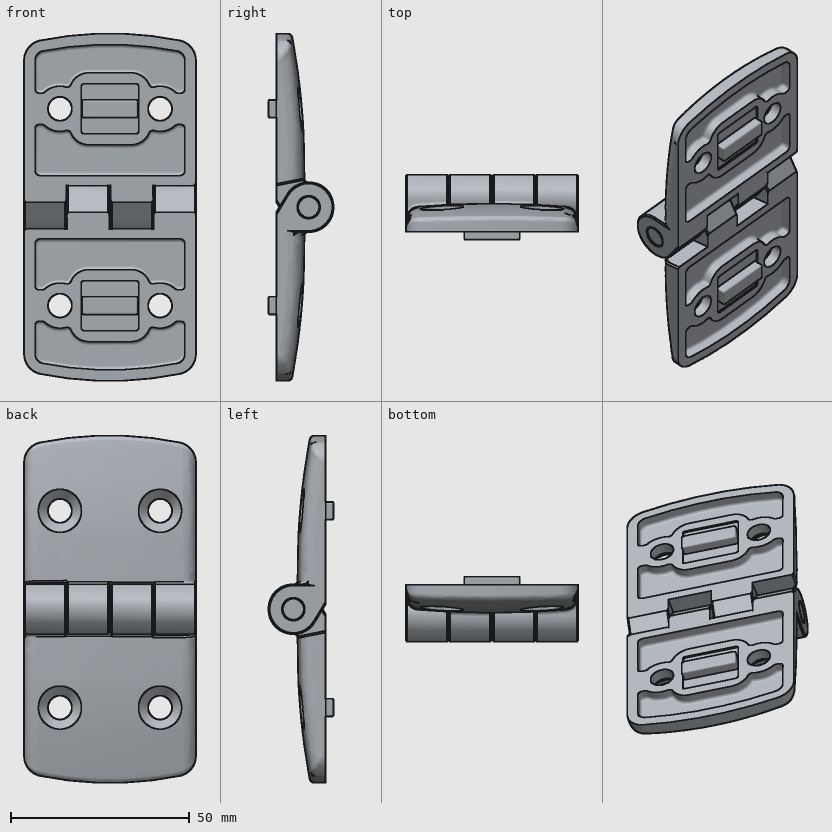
import cadquery as cq
import math

WIDTH = 48.0
LENGTH = 97.0
HALF_WIDTH = WIDTH / 2
LEAF_END = LENGTH / 2

AXIS_Y = 9.0
KNUCKLE_RADIUS = 7.0
KNUCKLE_LENGTH = 11.8
KNUCKLE_CHAMFER = 0.4
KNUCKLE_FOOT_Z = 1.4
CENTRE_GAP = 0.4
PIN_RADIUS = 2.9
PIN_HOLE_CHAMFER = 0.3

NOTCH_Z = 6.0
NOTCH_SLOPE = 0.2
NOTCH_CHAMFER = 0.5

ROOT_THICKNESS = 7.9
MIDDLE_THICKNESS = 7.2
END_THICKNESS = 4.3
CROWN_RADIUS = 261.9
END_ARC_RISE = 3.0
CORNER_RADIUS = 5.8
SIDE_FILLET = 3.9
END_FILLET = 1.5
ROOT_FILLET = 1.0
ROOT_OVERLAP = 0.3

KEY_Z = 27.45
SCREW_X = 14.0
SCREW_HOLE_DIAMETER = 6.6
SCREW_HEAD_DIAMETER = 12.0
SCREW_RIM_Y = 6.0
SCREW_POINTS = [(-SCREW_X, KEY_Z), (SCREW_X, KEY_Z)]

RIM = 3.1
POCKET_BOTTOM_Z = 8.8
POCKET_DEPTH = 3.0
POCKET_CORNER = 1.5
LAND_FILLET = 1.2
POCKET_FLOOR_FILLET = 1.0
ISLAND_WIDTH = 22.6
ISLAND_HEIGHT = 20.1
ISLAND_CORNER = 5.3
BOSS_RADIUS = 6.3
BAND_HEIGHT = 8.7

RECESS_WIDTH = 16.0
RECESS_HEIGHT = 14.0
RECESS_CORNER = 0.8
PLATE_SINK = 0.5
RIDGE_WIDTH = 15.6
RIDGE_HEIGHT = 5.0
RIDGE_STANDOUT = 2.2
RIDGE_FILLET = 0.6

OVERSIZE = 4.85
EDGE_MARGIN = 0.5


def xz_plane(y):
    """Workplane at height y whose extrusions grow toward +Y; its local x is -X."""
    return cq.Workplane(cq.Plane(origin=(0, y, 0), xDir=(-1, 0, 0), normal=(0, 1, 0)))


def leaf_outline(inset, bottom, depth):
    """Slab with the leaf outline, drawn in by `inset` at the sides and the end."""
    half = HALF_WIDTH - inset
    end = LEAF_END - inset
    shoulder = end - END_ARC_RISE * (half / HALF_WIDTH) ** 2
    slab = (
        xz_plane(0)
        .moveTo(-half, bottom)
        .lineTo(half, bottom)
        .lineTo(half, shoulder)
        .threePointArc((0, end), (-half, shoulder))
        .close()
        .extrude(depth)
    )
    return slab.edges("|Y").edges(">Z").fillet(CORNER_RADIUS - inset)


def domed_plate():
    """Solid leaf plate with its domed back, rounded sides and rounded end."""
    crown_axis_y = ROOT_THICKNESS - CROWN_RADIUS
    crown_angle = 2 * math.degrees(math.asin((HALF_WIDTH + OVERSIZE) / CROWN_RADIUS))
    dome = (
        cq.Workplane("YZ")
        .moveTo(-2 * OVERSIZE, NOTCH_Z)
        .lineTo(ROOT_THICKNESS, NOTCH_Z)
        .threePointArc((MIDDLE_THICKNESS, KEY_Z), (END_THICKNESS, LEAF_END))
        .lineTo(-2 * OVERSIZE, LEAF_END)
        .close()
        .revolve(crown_angle, (crown_axis_y, 0), (crown_axis_y, 1))
        .rotate((0, crown_axis_y, 0), (0, crown_axis_y, 1), -crown_angle / 2)
    )
    block = cq.Workplane().box(WIDTH, LENGTH, 2 * LENGTH)
    plate = dome.intersect(block)
    plate = plate.faces("<X or >X").edges(">Y").fillet(SIDE_FILLET)
    plate = plate.intersect(leaf_outline(0, NOTCH_Z, AXIS_Y))
    corner_start_z = LEAF_END - END_ARC_RISE - CORNER_RADIUS
    above_foot = cq.selectors.BoxSelector(
        (-WIDTH, EDGE_MARGIN, corner_start_z + EDGE_MARGIN), (WIDTH, AXIS_Y, LENGTH)
    )
    return plate.edges("not |Y").edges(above_foot).fillet(END_FILLET)


def knuckle(start_x):
    """One knuckle, from start_x toward +X, with a flat foot on the mounting face."""
    foot_distance = math.hypot(AXIS_Y, KNUCKLE_FOOT_Z)
    foot_direction = math.atan2(KNUCKLE_FOOT_Z, -AXIS_Y)
    tangent_angle = foot_direction + math.acos(KNUCKLE_RADIUS / foot_distance)
    tangent_y = AXIS_Y + KNUCKLE_RADIUS * math.cos(tangent_angle)
    tangent_z = KNUCKLE_RADIUS * math.sin(tangent_angle)
    body = (
        cq.Workplane("YZ", origin=(start_x, 0, 0))
        .moveTo(0, KNUCKLE_FOOT_Z)
        .lineTo(tangent_y, tangent_z)
        .threePointArc((AXIS_Y + KNUCKLE_RADIUS, 0), (AXIS_Y, KNUCKLE_RADIUS))
        .lineTo(0, KNUCKLE_RADIUS)
        .close()
        .extrude(KNUCKLE_LENGTH)
    )
    above_foot = cq.selectors.BoxSelector((-WIDTH, EDGE_MARGIN, -LENGTH), (WIDTH, LENGTH, LENGTH))
    return body.faces("<X or >X").edges(above_foot).chamfer(KNUCKLE_CHAMFER)


def root_fillet(start_x):
    """Concave fillet between the top of one knuckle and the rounded back of the leaf."""
    corner_x = HALF_WIDTH - SIDE_FILLET
    crown_y = ROOT_THICKNESS - CROWN_RADIUS
    corner_y = crown_y + math.sqrt((CROWN_RADIUS - SIDE_FILLET) ** 2 - corner_x**2)
    crown_end_angle = math.asin(corner_x / (CROWN_RADIUS - SIDE_FILLET))
    crown_end_x = CROWN_RADIUS * math.sin(crown_end_angle)
    crown_end_y = crown_y + CROWN_RADIUS * math.cos(crown_end_angle)
    corner_middle_angle = (crown_end_angle + math.pi / 2) / 2
    corner_middle_x = corner_x + SIDE_FILLET * math.sin(corner_middle_angle)
    corner_middle_y = corner_y + SIDE_FILLET * math.cos(corner_middle_angle)
    back_outline = (
        cq.Workplane("XY", origin=(0, 0, KNUCKLE_RADIUS))
        .moveTo(-HALF_WIDTH, corner_y)
        .threePointArc((-corner_middle_x, corner_middle_y), (-crown_end_x, crown_end_y))
        .threePointArc((0, ROOT_THICKNESS), (crown_end_x, crown_end_y))
        .threePointArc((corner_middle_x, corner_middle_y), (HALF_WIDTH, corner_y))
    )
    middle_of_arc = ROOT_FILLET * (1 - math.sqrt(0.5))
    strip = (
        cq.Workplane("XZ", origin=(-HALF_WIDTH, corner_y, KNUCKLE_RADIUS))
        .moveTo(ROOT_OVERLAP, -ROOT_OVERLAP)
        .lineTo(-ROOT_FILLET, -ROOT_OVERLAP)
        .lineTo(-ROOT_FILLET, 0)
        .threePointArc((-middle_of_arc, middle_of_arc), (0, ROOT_FILLET))
        .lineTo(ROOT_OVERLAP, ROOT_FILLET)
        .close()
        .sweep(back_outline, transition="round")
    )
    flat_length = KNUCKLE_LENGTH - 2 * KNUCKLE_CHAMFER
    column = cq.Workplane().box(flat_length, LENGTH, LENGTH).translate((start_x + KNUCKLE_LENGTH / 2, 0, 0))
    return strip.intersect(column)


def notch(start_x, end_x):
    """Cutting body that clears one knuckle of the other leaf."""
    return (
        cq.Workplane("YZ", origin=(start_x, 0, 0))
        .moveTo(-OVERSIZE, NOTCH_Z - NOTCH_SLOPE * OVERSIZE)
        .lineTo(AXIS_Y, NOTCH_Z + NOTCH_SLOPE * AXIS_Y)
        .lineTo(AXIS_Y, 0)
        .lineTo(-OVERSIZE, 0)
        .close()
        .extrude(end_x - start_x)
    )


def pockets():
    """The two hollows above and below the land that carries the screws and the key."""
    hollow = leaf_outline(RIM, POCKET_BOTTOM_Z, POCKET_DEPTH).edges("|Y").edges("<Z").fillet(POCKET_CORNER)
    island = (
        xz_plane(0)
        .center(0, KEY_Z)
        .rect(ISLAND_WIDTH, ISLAND_HEIGHT)
        .extrude(POCKET_DEPTH)
        .edges("|Y")
        .fillet(ISLAND_CORNER)
    )
    bosses = xz_plane(0).pushPoints(SCREW_POINTS).circle(BOSS_RADIUS).extrude(POCKET_DEPTH)
    band = xz_plane(0).center(0, KEY_Z).rect(WIDTH, BAND_HEIGHT).extrude(POCKET_DEPTH)
    hollow = hollow.cut(island).cut(bosses).cut(band)
    near_land = cq.selectors.BoxSelector(
        (-HALF_WIDTH, 0, KEY_Z - BOSS_RADIUS), (HALF_WIDTH, POCKET_DEPTH, KEY_Z + BOSS_RADIUS)
    )
    hollow = hollow.edges("|Y").edges(near_land).fillet(LAND_FILLET)
    return hollow.faces(">Y").edges().fillet(POCKET_FLOOR_FILLET)


def recess_block(bottom_y, top_y):
    """Block that fills the key recess between two heights."""
    return (
        xz_plane(bottom_y)
        .center(0, KEY_Z)
        .rect(RECESS_WIDTH, RECESS_HEIGHT)
        .extrude(top_y - bottom_y)
        .edges("|Y")
        .fillet(RECESS_CORNER)
    )


def screw_holes():
    """Through holes with a 90 degree countersink that ends in a short straight bore in the back."""
    cone_depth = (SCREW_HEAD_DIAMETER - SCREW_HOLE_DIAMETER) / 2
    profile = (
        cq.Workplane("XY")
        .moveTo(0, -OVERSIZE)
        .lineTo(SCREW_HOLE_DIAMETER / 2, -OVERSIZE)
        .lineTo(SCREW_HOLE_DIAMETER / 2, SCREW_RIM_Y - cone_depth)
        .lineTo(SCREW_HEAD_DIAMETER / 2, SCREW_RIM_Y)
        .lineTo(SCREW_HEAD_DIAMETER / 2, AXIS_Y)
        .lineTo(0, AXIS_Y)
        .close()
        .revolve(360, (0, 0), (0, 1))
    )
    holes = cq.Workplane("XY")
    for x, z in SCREW_POINTS:
        holes = holes.add(profile.val().translate(cq.Vector(x, 0, z)))
    return holes.combine()


def pin_hole():
    """Bore along the hinge axis, chamfered where it leaves the hinge."""
    bore = cq.Workplane("YZ", origin=(-HALF_WIDTH, AXIS_Y, 0)).circle(PIN_RADIUS).extrude(WIDTH)
    mouth = cq.Solid.makeCone(
        PIN_RADIUS + PIN_HOLE_CHAMFER, PIN_RADIUS, PIN_HOLE_CHAMFER,
        pnt=cq.Vector(-HALF_WIDTH, AXIS_Y, 0), dir=cq.Vector(1, 0, 0),
    )
    return bore.union(cq.Workplane(mouth))


def make_leaf():
    """The upper leaf."""
    leaf = domed_plate()
    outer_start = -HALF_WIDTH
    outer_end = outer_start + KNUCKLE_LENGTH
    inner_start = CENTRE_GAP / 2
    inner_end = inner_start + KNUCKLE_LENGTH
    leaf = leaf.cut(notch(outer_end, inner_start)).cut(notch(inner_end, HALF_WIDTH))
    leaf = leaf.faces(">X").edges("<Z").chamfer(NOTCH_CHAMFER)
    for start in (outer_start, inner_start):
        leaf = leaf.union(knuckle(start)).union(root_fillet(start))
    leaf = leaf.cut(pockets()).cut(recess_block(0, POCKET_DEPTH)).cut(screw_holes())
    return leaf.cut(pin_hole())


def make_key():
    """Locating key: sunken plate with a ridge that stands out of the mounting face."""
    plate = recess_block(PLATE_SINK, POCKET_DEPTH)
    ridge = (
        xz_plane(-RIDGE_STANDOUT)
        .center(0, KEY_Z)
        .rect(RIDGE_WIDTH, RIDGE_HEIGHT)
        .extrude(RIDGE_STANDOUT + PLATE_SINK)
        .edges("|Y or <Y")
        .fillet(RIDGE_FILLET)
    )
    return plate.union(ridge)


def make_pin():
    """Hinge pin, flush with both sides of the hinge."""
    return cq.Workplane("YZ", origin=(-HALF_WIDTH, AXIS_Y, 0)).circle(PIN_RADIUS).extrude(WIDTH)


def both_sides(body):
    """The given body and its copy turned half a turn about Y, on the other side of the hinge."""
    return [body.val().rotate((0, 0, 0), (0, 1, 0), angle) for angle in (0, 180)]


leaves = both_sides(make_leaf())
keys = both_sides(make_key())
pin = make_pin()

result = cq.Compound.makeCompound([*leaves, *keys, pin.val()])